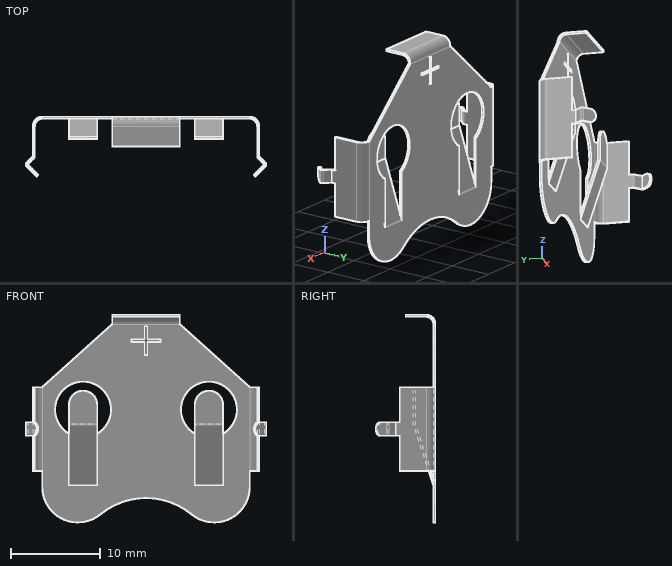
import cadquery as cq
import math


SHEET = 0.25
BEND_OUTER = 1.05
BEND_INNER = BEND_OUTER - SHEET
DIAGONAL = math.sqrt(0.5)

WIDTH = 27.02
DEPTH = 6.71
HEIGHT = 23.32

FLANGE_OUTER_X = 12.70
FLANGE_INNER_X = FLANGE_OUTER_X - SHEET
FLANGE_DEPTH = 4.00
FLANGE_BOTTOM = 5.78
FLANGE_TOP = 15.20

LEG_WIDTH = 1.55
LEG_START = 4.45
LEG_Z = (FLANGE_BOTTOM + FLANGE_TOP) / 2

PLATE_HALF_WIDTH = FLANGE_OUTER_X - BEND_OUTER
PLATE_TOP = HEIGHT - BEND_OUTER
LOBE_RADIUS = 4.00
COVE_TOP = 2.74

LIP_HALF_WIDTH = 3.80
LIP_DEPTH = 3.35

SPRING_X = 7.06
SPRING_WIDTH = 3.20
SPRING_ROOT = 4.20
SPRING_KNEE = 11.06
SPRING_TOP = 14.80
SPRING_DEPTH = 2.52
WINDOW_DIAMETER = 6.25
WINDOW_Z = 12.67

PLUS_Z = 20.40
PLUS_LENGTH = 3.20
PLUS_STROKE = SHEET


def mirrored(half):
    """Join a solid on the +X side with its mirror image."""
    return half.union(half.mirror("YZ"))


def around(pivot, angle):
    """Point one sheet thickness from a pivot, at an angle in degrees.

    Sharp bends keep a square inner corner, the pivot, and are rounded about it outside.
    """
    turn = math.radians(angle)
    return (pivot[0] + SHEET * math.cos(turn), pivot[1] + SHEET * math.sin(turn))


def make_plate():
    """Flat plate: sloped shoulders, two round lobes and a cove tangent to both lobes."""
    lobe_x = PLATE_HALF_WIDTH - LOBE_RADIUS
    lobe_z = LOBE_RADIUS
    rise = lobe_z - COVE_TOP
    cove_radius = (lobe_x**2 + rise**2 - LOBE_RADIUS**2) / (2 * (LOBE_RADIUS - rise))
    cove_z = COVE_TOP - cove_radius
    share = cove_radius / (cove_radius + LOBE_RADIUS)
    touch_x = lobe_x * share
    touch_z = cove_z + (lobe_z - cove_z) * share

    return (
        cq.Workplane("XZ")
        .moveTo(-LIP_HALF_WIDTH, PLATE_TOP)
        .lineTo(LIP_HALF_WIDTH, PLATE_TOP)
        .lineTo(PLATE_HALF_WIDTH, FLANGE_TOP)
        .lineTo(PLATE_HALF_WIDTH, lobe_z)
        .threePointArc((lobe_x, 0), (touch_x, touch_z))
        .threePointArc((0, COVE_TOP), (-touch_x, touch_z))
        .threePointArc((-lobe_x, 0), (-PLATE_HALF_WIDTH, lobe_z))
        .lineTo(-PLATE_HALF_WIDTH, FLANGE_TOP)
        .close()
        .extrude(SHEET)
    )


def bent_flange(plane, bend_start, depth):
    """Profile of a flange turned 90 degrees towards -Y, the bend starting at bend_start."""
    outer = bend_start + BEND_OUTER
    inner = bend_start + BEND_INNER

    def point(along, y):
        return (y, along) if plane == "YZ" else (along, y)

    outer_mid = point(bend_start + BEND_OUTER * DIAGONAL, -BEND_OUTER * (1 - DIAGONAL))
    inner_mid = point(bend_start + BEND_INNER * DIAGONAL, -BEND_OUTER + BEND_INNER * DIAGONAL)
    return (
        cq.Workplane(plane)
        .moveTo(*point(bend_start, 0))
        .threePointArc(outer_mid, point(outer, -BEND_OUTER))
        .lineTo(*point(outer, -depth))
        .lineTo(*point(inner, -depth))
        .lineTo(*point(inner, -BEND_OUTER))
        .threePointArc(inner_mid, point(bend_start, -SHEET))
        .close()
    )


def make_lip():
    """Lip folded over along the top edge of the plate."""
    return bent_flange("YZ", PLATE_TOP, LIP_DEPTH).extrude(LIP_HALF_WIDTH, both=True)


def make_side_flange():
    """Side flange folded along the upright edge on the +X side."""
    profile = bent_flange("XY", PLATE_HALF_WIDTH, FLANGE_DEPTH)
    return profile.extrude(FLANGE_TOP - FLANGE_BOTTOM).translate((0, 0, FLANGE_BOTTOM))


def make_leg():
    """Leg at the middle of the side flange: 45 degrees outwards, elbow, 45 degrees back in."""
    root = (FLANGE_OUTER_X, -LEG_START)
    elbow_x = WIDTH / 2 - SHEET
    first_inner = around(root, 225)
    elbow = (elbow_x, first_inner[1] - (elbow_x - first_inner[0]))
    elbow_end = around(elbow, -45)

    outward = (
        cq.Workplane("XY")
        .moveTo(FLANGE_OUTER_X, -FLANGE_DEPTH)
        .lineTo(*root)
        .lineTo(*around(elbow, 45))
        .threePointArc(around(elbow, 0), elbow_end)
        .lineTo(*elbow)
        .lineTo(*first_inner)
        .threePointArc(around(root, 202.5), around(root, 180))
        .lineTo(FLANGE_INNER_X, -FLANGE_DEPTH)
        .close()
        .extrude(LEG_WIDTH / 2, both=True)
        .translate((0, 0, LEG_Z))
    )

    half_width = LEG_WIDTH / 2
    limb_length = (DEPTH + elbow_end[1]) / DIAGONAL
    outer_face = cq.Plane(
        origin=(*elbow_end, LEG_Z),
        xDir=(-1, -1, 0),
        normal=(-1, 1, 0),
    )
    inward = (
        cq.Workplane(outer_face)
        .moveTo(0, -half_width)
        .lineTo(limb_length - half_width, -half_width)
        .threePointArc((limb_length, 0), (limb_length - half_width, half_width))
        .lineTo(0, half_width)
        .close()
        .extrude(SHEET)
    )
    return outward.union(inward)


def make_window():
    """Cutter for the round window and the slot left by the raised spring."""
    round_window = (
        cq.Workplane("XZ").center(SPRING_X, WINDOW_Z).circle(WINDOW_DIAMETER / 2).extrude(SHEET)
    )
    slot = (
        cq.Workplane("XZ")
        .center(SPRING_X, (SPRING_ROOT + WINDOW_Z) / 2)
        .rect(SPRING_WIDTH, WINDOW_Z - SPRING_ROOT)
        .extrude(SHEET)
    )
    return round_window.union(slot)


def make_spring():
    """Spring rising from the foot of its slot, then running parallel to the plate."""
    half_width = SPRING_WIDTH / 2
    root = (-SHEET, SPRING_ROOT)
    knee = (SHEET - SPRING_DEPTH, SPRING_KNEE)
    run = math.hypot(knee[0] - root[0], knee[1] - root[1])
    lean = math.degrees(math.atan2(root[0] - knee[0], knee[1] - root[1]) + math.asin(SHEET / run))
    side = (
        cq.Workplane("YZ")
        .moveTo(*root)
        .lineTo(*around(knee, 180 + lean))
        .threePointArc(around(knee, 180 + lean / 2), around(knee, 180))
        .lineTo(-SPRING_DEPTH, SPRING_TOP)
        .lineTo(knee[0], SPRING_TOP)
        .lineTo(*knee)
        .lineTo(*around(root, lean))
        .threePointArc(around(root, lean / 2), around(root, 0))
        .close()
        .extrude(half_width, both=True)
        .translate((SPRING_X, 0, 0))
    )
    face = (
        cq.Workplane("XZ")
        .moveTo(SPRING_X - half_width, SPRING_ROOT)
        .lineTo(SPRING_X + half_width, SPRING_ROOT)
        .lineTo(SPRING_X + half_width, SPRING_TOP - half_width)
        .threePointArc((SPRING_X, SPRING_TOP), (SPRING_X - half_width, SPRING_TOP - half_width))
        .close()
        .extrude(SPRING_DEPTH)
    )
    return side.intersect(face)


def make_plus_mark():
    """Cutter for the plus-shaped slot below the lip."""
    strokes = cq.Workplane("XZ").center(0, PLUS_Z)
    across = strokes.rect(PLUS_LENGTH, PLUS_STROKE).extrude(SHEET)
    upright = strokes.rect(PLUS_STROKE, PLUS_LENGTH).extrude(SHEET)
    return across.union(upright)


plate = make_plate().cut(mirrored(make_window())).cut(make_plus_mark())
side_parts = make_side_flange().union(make_leg()).union(make_spring())
result = plate.union(make_lip()).union(mirrored(side_parts))